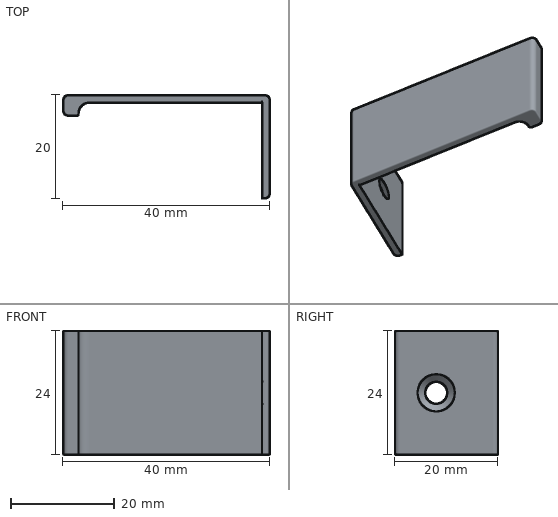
import cadquery as cq

length = 40.0
depth = 20.0
height = 24.0

lip_width = 3.0
wall = lip_width / 2
lip_depth = 4.0
lip_root_radius = 2.0
lip_tip_radius = 0.4

corner_radius = 1.0
edge_radius = 0.3

hole_diameter = 4.2
hole_from_back = 12.0
countersink_half_angle = 45.0

leg_inner_x = length - wall
selection_margin = 0.05


def bracket_body():
    """Extrude the plan outline, with the arcs at the root and tip of the lip."""
    root_center_y = -wall - lip_root_radius
    return (
        cq.Workplane("XY")
        .moveTo(0, 0)
        .lineTo(length, 0)
        .lineTo(length, -depth)
        .lineTo(leg_inner_x, -depth)
        .lineTo(leg_inner_x, -wall)
        .lineTo(lip_width + lip_root_radius, -wall)
        .radiusArc((lip_width, root_center_y), -lip_root_radius)
        .lineTo(lip_width, lip_tip_radius - lip_depth)
        .radiusArc((lip_width - lip_tip_radius, -lip_depth), lip_tip_radius)
        .lineTo(0, -lip_depth)
        .close()
        .extrude(height)
    )


def vertical_edge_at(x, y):
    """Select the vertical edge standing at a corner of the plan outline."""
    return cq.selectors.BoxSelector(
        (x - selection_margin, y - selection_margin, 0),
        (x + selection_margin, y + selection_margin, height),
    )


def round_corners(body):
    """Round the convex vertical corners, leaving the inner leg corners sharp."""
    for x, y in [(0, 0), (length, 0), (length, -depth), (0, -lip_depth)]:
        body = body.edges(vertical_edge_at(x, y)).fillet(corner_radius)
    return body


def round_rims(body):
    """Round the top and bottom rims except along the leg's inner face."""
    leg_inner_edges = cq.selectors.BoxSelector(
        (leg_inner_x - selection_margin, -depth, -selection_margin),
        (leg_inner_x + selection_margin, -wall, height + selection_margin),
    )
    rim_edges = body.faces("|Z").edges()
    leg_inner_rims = rim_edges.edges(leg_inner_edges).vals()
    rounded_rims = [edge for edge in rim_edges.vals() if edge not in leg_inner_rims]
    return body.newObject(rounded_rims).fillet(edge_radius)


def leg_hole():
    """Make the cone that widens from the leg's inner face to its outer face."""
    return (
        cq.Workplane("YZ", origin=(leg_inner_x, -hole_from_back, height / 2))
        .circle(hole_diameter / 2)
        .extrude(wall, taper=-countersink_half_angle)
    )


result = round_rims(round_corners(bracket_body())).cut(leg_hole())